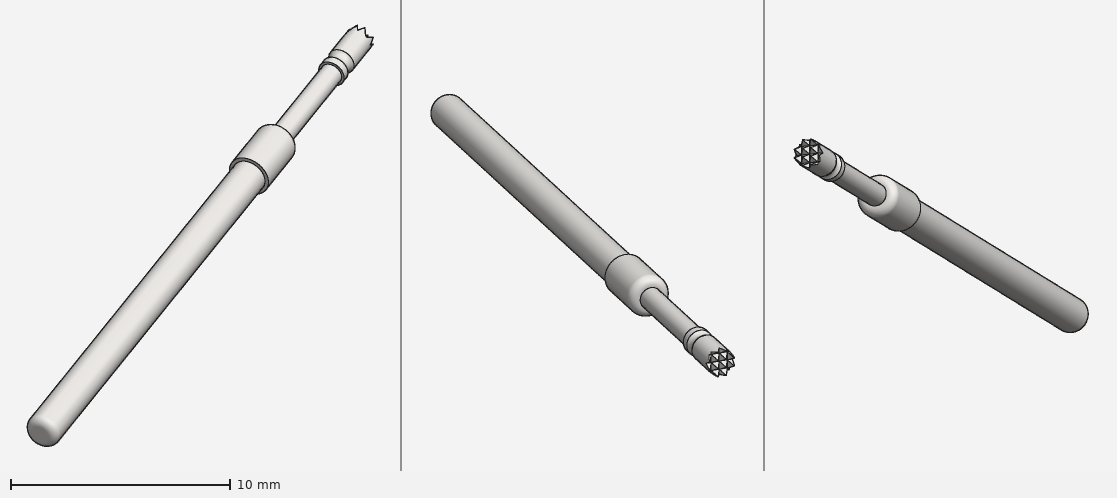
import cadquery as cq
import math

total_length = 32.3
head_length = 2.0
groove_length = 0.6
collar_length = 0.4
plunger_length = 8.3
sleeve_length = 3.0

head_radius = 0.65
groove_depth = 0.12
shaft_radius = 0.53
sleeve_radius = 1.0
barrel_radius = 0.825
end_rounding = 0.4

grooves_per_direction = 3
tooth_pitch = 0.4
groove_angle = 60.0
tooth_depth = tooth_pitch / 2 / math.tan(math.radians(groove_angle / 2))

sleeve_back_y = 0.0
sleeve_front_y = sleeve_back_y + sleeve_length
tip_y = sleeve_front_y + plunger_length
tail_y = tip_y - total_length


def cylinder(radius, back_y, front_y):
    """Solid cylinder on the Y axis between two stations."""
    front_face = cq.Workplane("XZ", origin=(0, front_y, 0))
    return front_face.circle(radius).extrude(front_y - back_y)


def plunger():
    """Head, concave neck groove, collar and shaft, as one revolved profile."""
    groove_front_y = tip_y - head_length
    groove_back_y = groove_front_y - groove_length
    collar_back_y = groove_back_y - collar_length
    groove_floor = (head_radius - groove_depth, groove_front_y - groove_length / 2)
    profile = (
        cq.Workplane("XY")
        .moveTo(0, tip_y)
        .lineTo(head_radius, tip_y)
        .lineTo(head_radius, groove_front_y)
        .threePointArc(groove_floor, (head_radius, groove_back_y))
        .lineTo(head_radius, collar_back_y)
        .lineTo(shaft_radius, collar_back_y)
        .lineTo(shaft_radius, sleeve_back_y)
        .lineTo(0, sleeve_back_y)
        .close()
    )
    return profile.revolve(360, (0, 0, 0), (0, 1, 0))


def cut_crown(body):
    """Cut adjoining V grooves along Z, and the same set along X, into the tip."""
    reach = 2 * head_radius
    valley_y = tip_y - tooth_depth
    first_valley_x = -(grooves_per_direction - 1) / 2 * tooth_pitch
    for index in range(grooves_per_direction):
        valley_x = first_valley_x + index * tooth_pitch
        groove = (
            cq.Workplane("XY")
            .moveTo(valley_x - tooth_pitch / 2, tip_y)
            .lineTo(valley_x, valley_y)
            .lineTo(valley_x + tooth_pitch / 2, tip_y)
            .close()
            .extrude(reach, both=True)
        )
        crossing_groove = groove.rotate((0, 0, 0), (0, 1, 0), 90)
        body = body.cut(groove).cut(crossing_groove)
    return body


def rounded_sleeve():
    """Stop sleeve with its front rim rounded."""
    blank = cylinder(sleeve_radius, sleeve_back_y, sleeve_front_y)
    return blank.faces(">Y").edges().fillet(end_rounding)


def rounded_barrel():
    """Barrel behind the sleeve with its tail rim rounded."""
    blank = cylinder(barrel_radius, tail_y, sleeve_back_y)
    return blank.faces("<Y").edges().fillet(end_rounding)


result = cut_crown(plunger()).union(rounded_sleeve()).union(rounded_barrel())